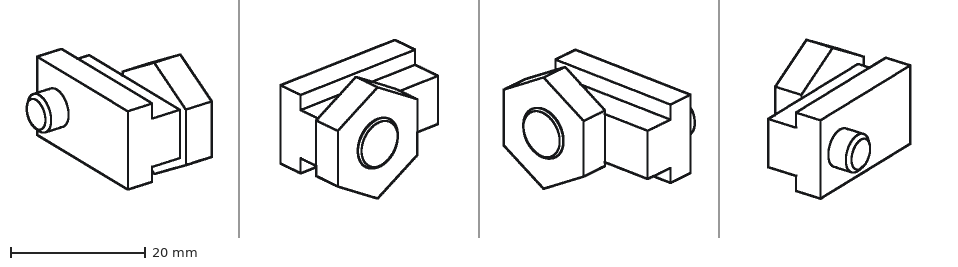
import cadquery as cq
import math

bar_length = 23.0
flange_height = 13.0
flange_thickness = 4.5
neck_height = 8.0
neck_thickness = 5.1

head_across_flats = 16.0
head_thickness = 4.8
overall_length = 24.5
head_x = overall_length - head_across_flats / 2

stud_diameter = 8.0
stud_height = 0.47
stud_chamfer = 0.37

pin_diameter = 6.0
pin_length = 3.82
pin_x = 5.0
pin_chamfer = 0.61

neck_back = flange_thickness + neck_thickness
head_back = neck_back + head_thickness


def bar_layer(height, front, back):
    """Block of the full bar length, centred in Z, between two Y positions."""
    return (
        cq.Workplane("XY")
        .box(bar_length, back - front, height, centered=(False, False, True))
        .translate((0, front, 0))
    )


def hex_head():
    """Hexagonal prism with vertical flats on its left and right sides."""
    across_corners = head_across_flats / math.cos(math.pi / 6)
    return (
        cq.Workplane("XZ", origin=(head_x, neck_back, 0))
        .transformed(rotate=(0, 0, 90))
        .polygon(6, across_corners)
        .extrude(-head_thickness)
    )


def stud_end():
    """Disc on the back of the head with a chamfered outer edge."""
    return (
        cq.Workplane("XZ", origin=(head_x, head_back, 0))
        .circle(stud_diameter / 2)
        .extrude(-stud_height)
        .faces(">Y")
        .chamfer(stud_chamfer)
    )


def locating_pin():
    """Pin pointing forward from the flange with a chamfered tip."""
    return (
        cq.Workplane("XZ", origin=(pin_x, 0, 0))
        .circle(pin_diameter / 2)
        .extrude(pin_length)
        .faces("<Y")
        .chamfer(pin_chamfer)
    )


result = (
    bar_layer(flange_height, 0, flange_thickness)
    .union(bar_layer(neck_height, flange_thickness, neck_back))
    .union(hex_head())
    .union(stud_end())
    .union(locating_pin())
)